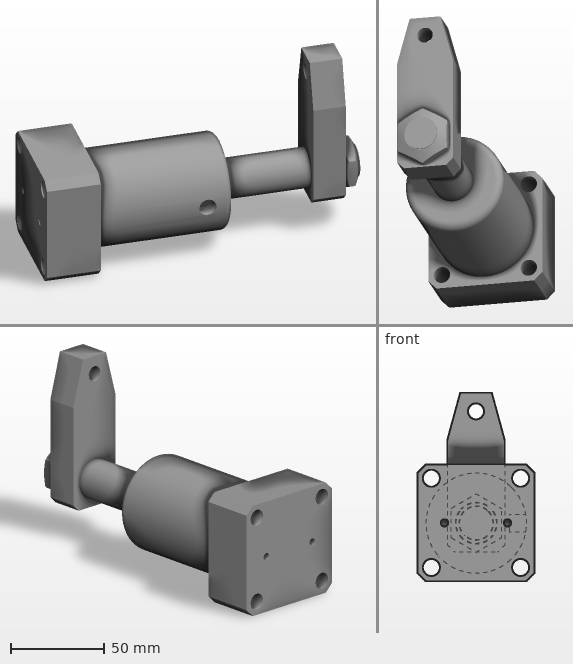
import cadquery as cq
import math

total_length = 181.0

flange_side = 63.0
flange_thickness = 30.0
flange_chamfer = 4.5
barrel_diameter = flange_side - 2 * flange_chamfer
barrel_length = 75.0
barrel_fillet = 4.0
barrel_top = flange_thickness + barrel_length

bolt_hole_diameter = 9.0
bolt_hole_pitch = 48.0
locating_hole_diameter = 4.0
locating_hole_pitch = 33.8
locating_hole_depth = 8.0
drill_point_angle = 118.0
port_diameter = 9.5
port_depth = 9.0
port_position = 91.0

stud_protrusion = 0.5
nut_thickness = 9.5
nut_outer_face = total_length - stud_protrusion
nut_across_flats = 27.2
nut_outer_face_diameter = 18.5
nut_cone_angle = 28.0
nut_inner_face_diameter = 21.7

lever_thickness = 18.1
lever_width = 31.1
lever_tip_width = 17.0
lever_tip_height = 70.0
lever_shoulder_height = 44.2
lever_base_depth = lever_width / 2
lever_base_chamfer = 4.0
lever_hole_diameter = 8.5
lever_hole_height = 60.0
lever_outer_face = nut_outer_face - nut_thickness
lever_inner_face = lever_outer_face - lever_thickness

rod_diameter = 22.5
stud_diameter = 18.0
rod_insertion = 18.1
rod_start = barrel_top - rod_insertion


def plane_at(y):
    """Sketch plane facing +Y at the given height along the axis, with local Y along +Z."""
    return cq.Workplane(cq.Plane(origin=(0, y, 0), xDir=(-1, 0, 0), normal=(0, 1, 0)))


def cylinder(diameter, start, end):
    """Round bar on the axis between two heights."""
    return plane_at(start).circle(diameter / 2).extrude(end - start)


def make_locating_hole(x):
    """Cutter for a blind drilled hole with a conical bottom, entering the mounting face at x."""
    radius = locating_hole_diameter / 2
    point_length = radius / math.tan(math.radians(drill_point_angle / 2))
    return (
        cq.Workplane("XY")
        .polyline([
            (0, 0),
            (radius, 0),
            (radius, locating_hole_depth),
            (0, locating_hole_depth + point_length),
        ])
        .close()
        .revolve(360, (0, 0), (0, 1))
        .translate((x, 0, 0))
    )


def make_housing():
    flange = (
        plane_at(0)
        .rect(flange_side, flange_side)
        .extrude(flange_thickness)
        .edges("|Y")
        .chamfer(flange_chamfer)
    )
    barrel = cylinder(barrel_diameter, flange_thickness, barrel_top).faces(">Y").edges().fillet(barrel_fillet)
    bolt_holes = (
        plane_at(0)
        .rect(bolt_hole_pitch, bolt_hole_pitch, forConstruction=True)
        .vertices()
        .circle(bolt_hole_diameter / 2)
        .extrude(flange_thickness)
    )
    housing = flange.union(barrel).cut(bolt_holes)
    for side in (-1, 1):
        housing = housing.cut(make_locating_hole(side * locating_hole_pitch / 2))

    port = (
        cq.Workplane("YZ", origin=(barrel_diameter / 2 - port_depth, 0, 0))
        .center(port_position, 0)
        .circle(port_diameter / 2)
        .extrude(port_depth)
    )
    rod_bore = cylinder(rod_diameter, rod_start, barrel_top)
    return housing.cut(port).cut(rod_bore)


def make_rod():
    shaft = cylinder(rod_diameter, rod_start, lever_inner_face)
    stud = cylinder(stud_diameter, lever_inner_face, total_length)
    return shaft.union(stud)


def make_lever():
    half_width = lever_width / 2
    half_tip = lever_tip_width / 2
    chamfer_x = half_width - lever_base_chamfer
    chamfer_z = lever_base_chamfer - lever_base_depth
    blank = (
        plane_at(lever_inner_face)
        .polyline([
            (-half_tip, lever_tip_height),
            (half_tip, lever_tip_height),
            (half_width, lever_shoulder_height),
            (half_width, chamfer_z),
            (chamfer_x, -lever_base_depth),
            (-chamfer_x, -lever_base_depth),
            (-half_width, chamfer_z),
            (-half_width, lever_shoulder_height),
        ])
        .close()
        .extrude(lever_thickness)
    )
    tip_hole = (
        plane_at(lever_inner_face)
        .center(0, lever_hole_height)
        .circle(lever_hole_diameter / 2)
        .extrude(lever_thickness)
    )
    stud_hole = cylinder(stud_diameter, lever_inner_face, lever_outer_face)
    return blank.cut(tip_hole).cut(stud_hole)


def make_nut():
    corner_radius = nut_across_flats / math.sqrt(3)
    slope = math.tan(math.radians(nut_cone_angle))
    inner_radius = nut_inner_face_diameter / 2
    outer_radius = nut_outer_face_diameter / 2
    hexagon = (
        plane_at(lever_outer_face)
        .transformed(rotate=(0, 0, 90))
        .polygon(6, 2 * corner_radius)
        .extrude(nut_thickness)
    )
    envelope = (
        cq.Workplane("XY")
        .polyline([
            (0, lever_outer_face),
            (inner_radius, lever_outer_face),
            (corner_radius, lever_outer_face + (corner_radius - inner_radius) * slope),
            (corner_radius, nut_outer_face - (corner_radius - outer_radius) * slope),
            (outer_radius, nut_outer_face),
            (0, nut_outer_face),
        ])
        .close()
        .revolve(360, (0, 0), (0, 1))
    )
    stud_hole = cylinder(stud_diameter, lever_outer_face, nut_outer_face)
    return hexagon.intersect(envelope).cut(stud_hole)


housing = make_housing().solids()
rod = make_rod().solids()
lever = make_lever().solids()
nut = make_nut().solids()

result = cq.Compound.makeCompound([housing.val(), rod.val(), lever.val(), nut.val()])